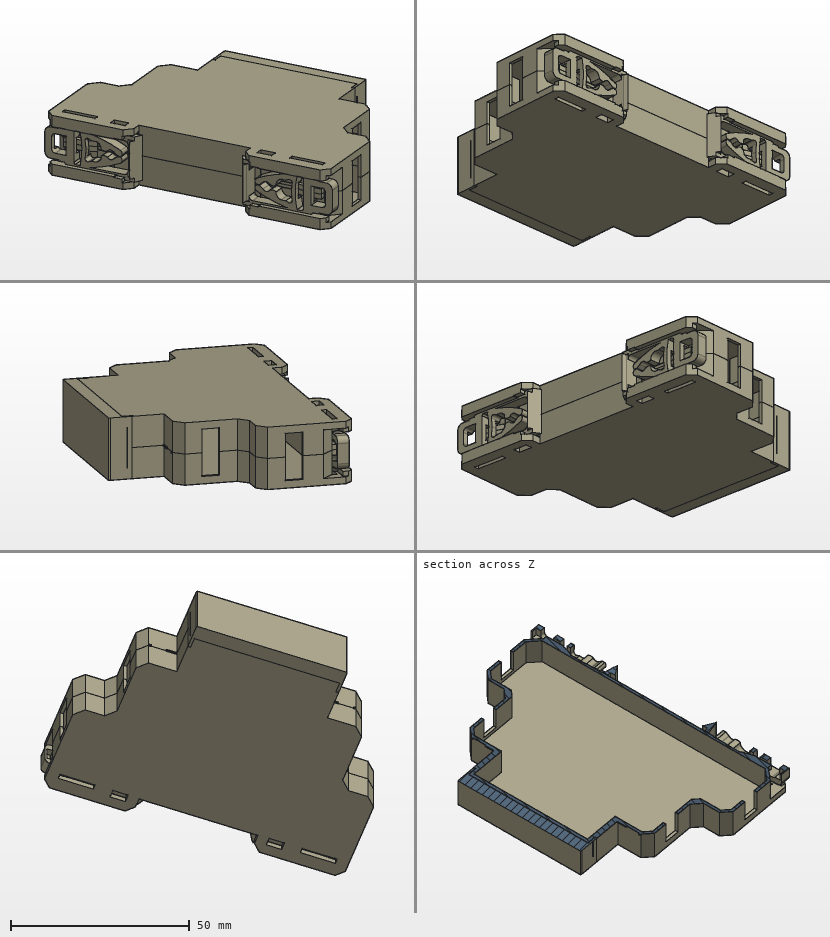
import cadquery as cq


TOTAL_HEIGHT = 65.0
HALF_THICKNESS = 9.05
BASE_HALF_WIDTH = 44.9
CLIP_REACH = 45.7
WALL = 1.0
CAVITY_STEP_CHAMFER = 1.3

STEP_CHAMFER = 2.7
TIER_1_TOP = 28.0
TIER_2_TOP = 48.8
TIER_2_HALF_WIDTH = 33.65
TOWER_HALF_WIDTH = 22.5
FOOT_CHAMFER = 2.3
FOOT_INNER_X = 17.7
RAIL_FACE_Y = 5.1

COVER_SEAT_Y = 60.9
COVER_LEG_THICKNESS = 0.8
COVER_LEG_END_Y = 57.8
COVER_LEG_BEVEL = 0.4
COVER_EDGE_CHAMFER_X = 0.2
COVER_EDGE_CHAMFER_Y = 0.55
COVER_SLIT_Y = 59.5
COVER_SLIT_WIDTH = 0.1
COVER_SLIT_DEPTH = 0.2
COVER_SLIT_HALF_LENGTH = 5.85

WINDOW_HALF_LENGTH = 6.9
WINDOW_WIDTH = 5.2
WINDOW_CENTERS_Y = (17.5, 38.5)
RIDGE_SPANS = ((22.5, 25.7), (30.2, 30.9))
RIDGE_HEIGHT = 0.3
RIDGE_HALF_WIDTH = 0.3

SLOPE_HEIGHT = 3.8
NOTCH_HALF_LENGTH = 7.0
NOTCH_DEPTH = 1.0
HOOK_RELIEF_X = 20.3
SLOT_TOP_Y = 5.3
LONG_SLOT = (30.9, 41.3, 3.8)
SHORT_SLOT = (21.0, 25.6, 3.0)

RIB_OUTER_X = 41.0
RIB_RAMP_X = 35.1
RIB_HALF_WIDTH = 1.6
RIB_FRONT_Y = 3.8
GROOVE_HALF_WIDTH = 0.9
GROOVE_DEPTH = 0.3

CLIP_FRONT_Y = 1.6
CLIP_BACK_Y = 5.0
CLIP_END_X = 17.6
WING_FRONT_Y = 2.9
WING_HALF_WIDTH = 6.9
WING_TAPER_X = (38.9, 39.7)
RIB_CLEARANCE_Y = 3.3
RIB_CLEARANCE_X = (31.1, 45.2)
RIB_CLEARANCE_HALF_WIDTH = 2.4
RAIL_HALF_WIDTH = 5.7
TAB_HALF_WIDTH = 4.8
TAB_STEP_HALF_WIDTH = 5.1
TAB_CORNER_RADIUS = 1.8
TAB_STEPS_X = (39.0, 39.5, 41.15, 41.5)
PULL_WINDOW_X = (38.95, 43.5)
PULL_WINDOW_HALF_WIDTH = 2.9
PULL_WINDOW_RADIUS = 1.2
BOW_WINDOW_OUTER_X = 36.5
BOW_WINDOW_CHAMFER = (0.5, 0.55)
BOW_END_X = 34.5
BOW_MIDDLE_X = 33.9
SHOULDER_HALF_WIDTH = 5.9
SHOULDER_START_X = 22.95
SHOULDER_END_X = 22.6
HOOK_TIP_X = 15.9
HOOK_TOP_Y = 3.8
TOOTH_TIP = (18.0, 0.3)
TOOTH_BASE_X = 18.5
OPENING_HALF_WIDTH = 5.1
OPENING_INNER_X = 19.2
OPENING_FILLET = 1.2
ARM_ROOT_X = 31.3
ARM_OUTER_MIDDLE = (25.6, 3.6)
ARM_TIP_X = 21.1
ARM_END_X = 21.6
ARM_END_HALF_WIDTH = 1.9
ARM_SLIT = 0.2

SLIT_END_X = 22.5
DIAMOND_START = (23.7, 0.9)
DIAMOND_PEAK = (24.8, 1.5)
DIAMOND_END = (25.8, 0.9)
NECK_MIDDLE = (26.6, 0.6)
NECK_END = (27.8, 1.0)
DOME_SHOULDER = (28.3, 2.4)
DOME_END = (29.4, 3.1)
DOME_SIDE = (30.9, 3.1)
LOBE_START = (31.8, 3.5)
LOBE_CORNER = (32.55, 3.4)
LOBE_END = (32.9, 2.7)
BAR_MIDDLE_X = 32.6


def box(x_range, y_range, z_range):
    """Axis-aligned box between the given limits."""
    sizes = [limits[1] - limits[0] for limits in (x_range, y_range, z_range)]
    corner = (x_range[0], y_range[0], z_range[0])
    return cq.Workplane("XY").box(*sizes, centered=False).translate(corner)


def prism(points, half_length):
    """Polygon in XY extruded symmetrically along Z."""
    return cq.Workplane("XY").polyline(points).close().extrude(half_length, both=True)


def mirrored(points):
    """Close a +X half outline with its mirror image."""
    return points + [(-x, y) for x, y in reversed(points)]


def both_sides(solid):
    """A feature on +X together with its mirror image on -X."""
    return solid.union(solid.mirror("YZ"))


def cover_outline():
    inner_x = TOWER_HALF_WIDTH - COVER_LEG_THICKNESS
    return mirrored([
        (inner_x, COVER_SEAT_Y),
        (inner_x, COVER_LEG_END_Y),
        (TOWER_HALF_WIDTH - COVER_LEG_BEVEL, COVER_LEG_END_Y),
        (TOWER_HALF_WIDTH, COVER_LEG_END_Y + COVER_LEG_BEVEL),
        (TOWER_HALF_WIDTH, TOTAL_HEIGHT - COVER_EDGE_CHAMFER_Y),
        (TOWER_HALF_WIDTH - COVER_EDGE_CHAMFER_X, TOTAL_HEIGHT),
    ])


def front_cover():
    slit = box(
        (TOWER_HALF_WIDTH - COVER_SLIT_DEPTH, TOWER_HALF_WIDTH),
        (COVER_SLIT_Y, COVER_SLIT_Y + COVER_SLIT_WIDTH),
        (-COVER_SLIT_HALF_LENGTH, COVER_SLIT_HALF_LENGTH),
    )
    return prism(cover_outline(), HALF_THICKNESS).cut(both_sides(slit))


def step_points():
    """Stepped +X flank from the base up to the tower."""
    return [
        (BASE_HALF_WIDTH, TIER_1_TOP - STEP_CHAMFER),
        (BASE_HALF_WIDTH - STEP_CHAMFER, TIER_1_TOP),
        (TIER_2_HALF_WIDTH + STEP_CHAMFER, TIER_1_TOP),
        (TIER_2_HALF_WIDTH, TIER_1_TOP + STEP_CHAMFER),
        (TIER_2_HALF_WIDTH, TIER_2_TOP - STEP_CHAMFER),
        (TIER_2_HALF_WIDTH - STEP_CHAMFER, TIER_2_TOP),
        (TOWER_HALF_WIDTH, TIER_2_TOP),
    ]


def outer_block():
    outline = mirrored([
        (FOOT_INNER_X, RAIL_FACE_Y),
        (FOOT_INNER_X, FOOT_CHAMFER),
        (FOOT_INNER_X + FOOT_CHAMFER, 0),
        (BASE_HALF_WIDTH - FOOT_CHAMFER, 0),
        (BASE_HALF_WIDTH, FOOT_CHAMFER),
        *step_points(),
        (TOWER_HALF_WIDTH, COVER_SEAT_Y),
    ])
    return prism(outline, HALF_THICKNESS).cut(prism(cover_outline(), HALF_THICKNESS))


def cavity():
    """Hollow inside, one wall thickness in from the core of the housing."""
    seat_x = TOWER_HALF_WIDTH - COVER_LEG_THICKNESS
    core = mirrored([
        (BASE_HALF_WIDTH - SLOPE_HEIGHT, RAIL_FACE_Y),
        (BASE_HALF_WIDTH, RAIL_FACE_Y + SLOPE_HEIGHT),
        (BASE_HALF_WIDTH, TIER_1_TOP - STEP_CHAMFER),
        (BASE_HALF_WIDTH - STEP_CHAMFER, TIER_1_TOP),
        (TIER_2_HALF_WIDTH + CAVITY_STEP_CHAMFER, TIER_1_TOP),
        (TIER_2_HALF_WIDTH, TIER_1_TOP + CAVITY_STEP_CHAMFER),
        (TIER_2_HALF_WIDTH, TIER_2_TOP - STEP_CHAMFER),
        (TIER_2_HALF_WIDTH - STEP_CHAMFER, TIER_2_TOP),
        (seat_x, TIER_2_TOP),
        (seat_x, COVER_SEAT_Y),
    ])
    outline = cq.Workplane("XY").polyline(core).close().offset2D(-WALL, "intersection")
    return outline.extrude(HALF_THICKNESS - WALL, both=True)


def wire_windows():
    reach = (-BASE_HALF_WIDTH, BASE_HALF_WIDTH)
    length = (-WINDOW_HALF_LENGTH, WINDOW_HALF_LENGTH)
    windows = cq.Workplane("XY")
    for center_y in WINDOW_CENTERS_Y:
        span = (center_y - WINDOW_WIDTH / 2, center_y + WINDOW_WIDTH / 2)
        windows = windows.add(box(reach, span, length))
    return windows.combine()


def parting_ridges():
    """Low ridge along the parting line of the upper step, interrupted in the middle."""
    ridges = cq.Workplane("XY")
    for span in RIDGE_SPANS:
        height = (TIER_2_TOP, TIER_2_TOP + RIDGE_HEIGHT)
        ridges = ridges.add(box(span, height, (-RIDGE_HALF_WIDTH, RIDGE_HALF_WIDTH)))
    return ridges.combine()


def flange_slot(inner_x, outer_x, lower_y):
    through = (-HALF_THICKNESS, HALF_THICKNESS)
    return box((inner_x, outer_x), (lower_y, SLOT_TOP_Y), through)


def channel_groove():
    """Shallow groove between the two slots."""
    return box(
        (SHORT_SLOT[1], LONG_SLOT[0]),
        (RAIL_FACE_Y, RAIL_FACE_Y + GROOVE_DEPTH),
        (-GROOVE_HALF_WIDTH, GROOVE_HALF_WIDTH),
    )


def guide_rib():
    """Rib on the channel bottom that ramps down towards the hook."""
    return prism([
        (RIB_OUTER_X, SLOT_TOP_Y),
        (RIB_OUTER_X, RIB_FRONT_Y),
        (RIB_RAMP_X, RIB_FRONT_Y),
        (LONG_SLOT[0], RAIL_FACE_Y),
        (LONG_SLOT[0], SLOT_TOP_Y),
    ], RIB_HALF_WIDTH)


def clip_channel():
    """All cuts that receive the +X clip."""
    depth = (0, RAIL_FACE_Y)
    notch_z = (-NOTCH_HALF_LENGTH, NOTCH_HALF_LENGTH)
    guide_z = (-RAIL_HALF_WIDTH, RAIL_HALF_WIDTH)
    shoulder_z = (-SHOULDER_HALF_WIDTH, SHOULDER_HALF_WIDTH)
    slope = prism([
        (BASE_HALF_WIDTH - SLOPE_HEIGHT, RAIL_FACE_Y),
        (BASE_HALF_WIDTH, RAIL_FACE_Y),
        (BASE_HALF_WIDTH, RAIL_FACE_Y + SLOPE_HEIGHT),
    ], NOTCH_HALF_LENGTH)
    cuts = box((FOOT_INNER_X, BASE_HALF_WIDTH), depth, guide_z)
    cuts = cuts.union(box((FOOT_INNER_X, SHOULDER_START_X), depth, shoulder_z))
    cuts = cuts.union(box((FOOT_INNER_X, BASE_HALF_WIDTH), (WING_FRONT_Y, RAIL_FACE_Y), notch_z))
    cuts = cuts.union(box((FOOT_INNER_X, HOOK_RELIEF_X), depth, notch_z))
    cuts = cuts.union(box((BASE_HALF_WIDTH - NOTCH_DEPTH, BASE_HALF_WIDTH), depth, notch_z))
    cuts = cuts.union(slope)
    cuts = cuts.union(channel_groove())
    cuts = cuts.union(flange_slot(*LONG_SLOT))
    return cuts.union(flange_slot(*SHORT_SLOT))


def half_shell(side):
    """Half of the housing above (side = 1) or below (side = -1) the parting plane."""
    ridges = both_sides(parting_ridges())
    housing = outer_block().union(ridges).cut(cavity()).cut(wire_windows())
    housing = housing.cut(both_sides(clip_channel())).union(both_sides(guide_rib()))
    upper_half = box(
        (-BASE_HALF_WIDTH, BASE_HALF_WIDTH), (0, TOTAL_HEIGHT), (0, HALF_THICKNESS)
    )
    shell = housing.intersect(upper_half)
    return shell if side > 0 else shell.mirror("XY")


def clip_sketch():
    """Workplane whose local axes are X and Z, at the front face of the clip."""
    plane = cq.Plane(origin=(0, CLIP_FRONT_Y, 0), xDir=(1, 0, 0), normal=(0, -1, 0))
    return cq.Workplane(plane)


def through_clip(sketch):
    return sketch.extrude(CLIP_FRONT_Y - CLIP_BACK_Y)


def clip_plate():
    half = [
        (CLIP_END_X, SHOULDER_HALF_WIDTH),
        (SHOULDER_END_X, SHOULDER_HALF_WIDTH),
        (SHOULDER_START_X, RAIL_HALF_WIDTH),
        (TAB_STEPS_X[0], RAIL_HALF_WIDTH),
        (TAB_STEPS_X[1], TAB_STEP_HALF_WIDTH),
        (TAB_STEPS_X[2], TAB_STEP_HALF_WIDTH),
        (TAB_STEPS_X[3], TAB_HALF_WIDTH),
        (CLIP_REACH, TAB_HALF_WIDTH),
    ]
    outline = half + [(x, -z) for x, z in reversed(half)]
    plate = through_clip(clip_sketch().polyline(outline).close())
    return plate.edges("|Y and >X").fillet(TAB_CORNER_RADIUS)


def hook_slope_x(y):
    """X of the slanted hook face at height y; the face runs from hook tip to tooth tip."""
    slope = (TOOTH_TIP[0] - HOOK_TIP_X) / (HOOK_TOP_Y - TOOTH_TIP[1])
    return HOOK_TIP_X + slope * (HOOK_TOP_Y - y)


def clip_hook():
    """Wide hook that grips the rail."""
    return prism([
        (HOOK_RELIEF_X, CLIP_FRONT_Y),
        (hook_slope_x(CLIP_FRONT_Y), CLIP_FRONT_Y),
        (HOOK_TIP_X, HOOK_TOP_Y),
        (HOOK_RELIEF_X, HOOK_TOP_Y),
    ], WING_HALF_WIDTH)


def hook_tooth():
    """Tooth on the front of the hook, narrower than the hook."""
    return prism([
        (TOOTH_BASE_X, CLIP_FRONT_Y),
        TOOTH_TIP,
        (hook_slope_x(CLIP_FRONT_Y), CLIP_FRONT_Y),
    ], RAIL_HALF_WIDTH)


def clip_wings():
    """Wings on both long sides, tapered at the outer end."""
    half = [
        (CLIP_END_X, WING_HALF_WIDTH),
        (WING_TAPER_X[0], WING_HALF_WIDTH),
        (WING_TAPER_X[1], RAIL_HALF_WIDTH),
    ]
    outline = half + [(x, -z) for x, z in reversed(half)]
    sketch = clip_sketch().workplane(offset=CLIP_FRONT_Y - WING_FRONT_Y).polyline(outline).close()
    return sketch.extrude(WING_FRONT_Y - CLIP_BACK_Y)


def rib_clearance():
    """Groove in the back of the clip that slides over the guide rib."""
    z_range = (-RIB_CLEARANCE_HALF_WIDTH, RIB_CLEARANCE_HALF_WIDTH)
    return box(RIB_CLEARANCE_X, (RIB_CLEARANCE_Y, CLIP_BACK_Y), z_range)


def opening_draft():
    """Wedge that slants the opening wall towards the back of the tooth."""
    return prism([
        (OPENING_INNER_X, CLIP_BACK_Y),
        (OPENING_INNER_X, CLIP_FRONT_Y),
        (TOOTH_BASE_X, CLIP_FRONT_Y),
    ], RAIL_HALF_WIDTH)


def pull_window():
    """Window in the pull tab, its outer corners rounded."""
    z_range = (-PULL_WINDOW_HALF_WIDTH, PULL_WINDOW_HALF_WIDTH)
    window = box(PULL_WINDOW_X, (CLIP_FRONT_Y, CLIP_BACK_Y), z_range)
    return window.edges("|Y and >X").fillet(PULL_WINDOW_RADIUS)


def bow_window():
    """Slot beside the bowed cross bar."""
    outer_x = BOW_WINDOW_OUTER_X
    chamfer_x, chamfer_z = BOW_WINDOW_CHAMFER
    end_z = OPENING_HALF_WIDTH
    sketch = (
        clip_sketch()
        .moveTo(BOW_END_X, -end_z)
        .threePointArc((BOW_MIDDLE_X, 0), (BOW_END_X, end_z))
        .lineTo(outer_x - chamfer_x, end_z)
        .lineTo(outer_x, end_z - chamfer_z)
        .lineTo(outer_x, -end_z + chamfer_z)
        .lineTo(outer_x - chamfer_x, -end_z)
        .close()
    )
    return through_clip(sketch)


def arm_opening():
    """Opening around the two converging spring arms."""
    arm_root = (ARM_ROOT_X, OPENING_HALF_WIDTH)
    arm_middle = ARM_OUTER_MIDDLE
    arm_end = (ARM_END_X, ARM_END_HALF_WIDTH)
    arm_tip = (ARM_TIP_X, ARM_END_HALF_WIDTH / 2)
    slit_z = ARM_SLIT / 2
    sketch = (
        clip_sketch()
        .moveTo(*arm_root)
        .lineTo(OPENING_INNER_X, OPENING_HALF_WIDTH)
        .lineTo(OPENING_INNER_X, -OPENING_HALF_WIDTH)
        .lineTo(arm_root[0], -arm_root[1])
        .threePointArc((arm_middle[0], -arm_middle[1]), (arm_end[0], -arm_end[1]))
        .threePointArc((arm_tip[0], -arm_tip[1]), (ARM_END_X, -slit_z))
        .lineTo(ARM_END_X, slit_z)
        .threePointArc(arm_tip, arm_end)
        .threePointArc(arm_middle, arm_root)
        .close()
    )
    return through_clip(sketch).edges("|Y and <X").fillet(OPENING_FILLET)


def arm_cavity():
    """Space between the spring arms: a slit at the tips, a diamond, a neck, a dome and two lobes."""
    slit_z = ARM_SLIT / 2
    bar_bow = (BAR_MIDDLE_X + (LOBE_END[0] - BAR_MIDDLE_X) / 4, LOBE_END[1] / 2)
    half = (
        clip_sketch()
        .moveTo(ARM_END_X, 0)
        .lineTo(ARM_END_X, slit_z)
        .lineTo(SLIT_END_X, slit_z)
        .lineTo(*DIAMOND_START)
        .threePointArc(DIAMOND_PEAK, DIAMOND_END)
        .threePointArc(NECK_MIDDLE, NECK_END)
        .threePointArc(DOME_SHOULDER, DOME_END)
        .lineTo(*DOME_SIDE)
        .lineTo(*LOBE_START)
        .threePointArc(LOBE_CORNER, LOBE_END)
        .threePointArc(bar_bow, (BAR_MIDDLE_X, 0))
        .close()
    )
    upper = through_clip(half)
    return upper.union(upper.mirror("XY"))


def rail_clip(side):
    """Clip on the +X side (side = 1) or the -X side (side = -1)."""
    clip = clip_plate().union(clip_wings()).union(clip_hook())
    clip = clip.cut(rib_clearance()).cut(pull_window()).cut(bow_window())
    clip = clip.cut(arm_opening()).cut(arm_cavity()).cut(opening_draft())
    clip = clip.union(hook_tooth())
    return clip if side > 0 else clip.mirror("YZ")


cover = front_cover()
shells = [half_shell(side) for side in (1, -1)]
clips = [rail_clip(side) for side in (1, -1)]

result = cq.Compound.makeCompound([
    cover.val(),
    *[shell.val() for shell in shells],
    *[clip.val() for clip in clips],
])